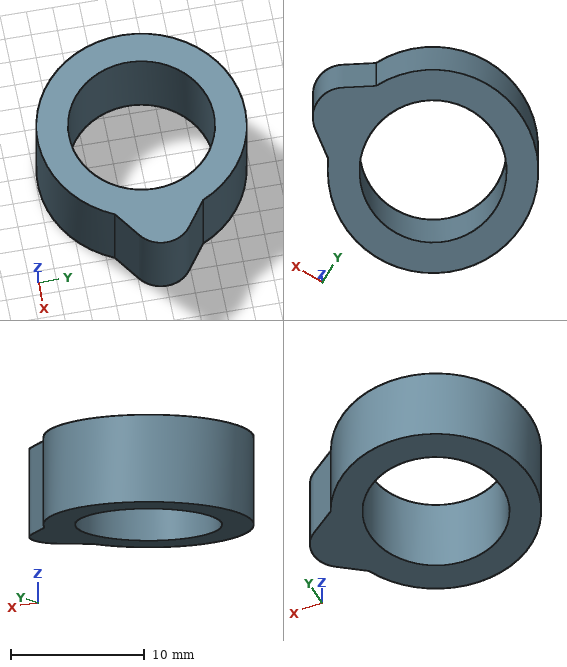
import cadquery as cq
import math

overall_length = 18.06
height = 6.68
ring_diameter = 15.75
bore_diameter = 11.0
tip_radius = 2.33
flank_angle = 35.0
ring_radius = ring_diameter / 2

nose_x = overall_length - ring_radius
tip_center_x = nose_x - tip_radius

flank = math.radians(flank_angle)
tangent_x = tip_center_x + tip_radius * math.sin(flank)
tangent_y = tip_radius * math.cos(flank)

line_offset = tip_radius + tip_center_x * math.sin(flank)
root_angle = math.pi / 2 - flank - math.acos(line_offset / ring_radius)
root_x = ring_radius * math.cos(root_angle)
root_y = ring_radius * math.sin(root_angle)

body = (
    cq.Workplane("XY")
    .moveTo(root_x, root_y)
    .threePointArc((-ring_radius, 0), (root_x, -root_y))
    .lineTo(tangent_x, -tangent_y)
    .threePointArc((nose_x, 0), (tangent_x, tangent_y))
    .close()
    .extrude(height)
)

bore = cq.Workplane("XY").circle(bore_diameter / 2).extrude(height)

result = body.cut(bore)